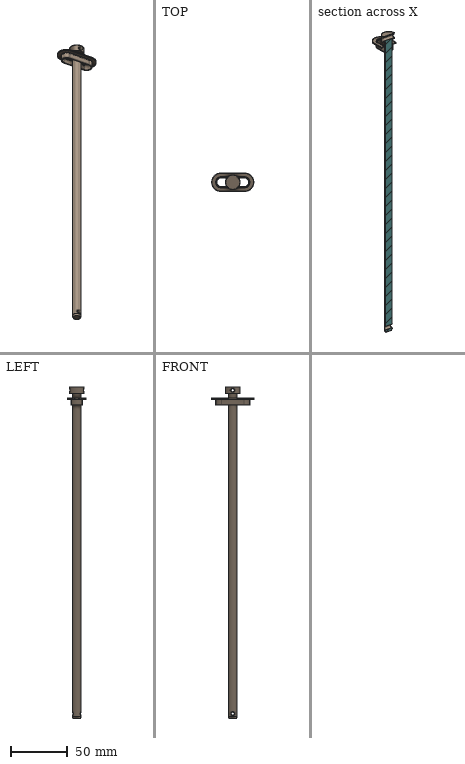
import cadquery as cq

pin_length = 291.0
pin_diameter = 8.0
head_diameter = 12.8
head_height = 5.8
tip_chamfer_height = 1.7
tip_chamfer_width = 1.0

cross_hole_diameter = 3.0
head_hole_z = pin_length - head_height / 2
tip_hole_z = 4.5
cross_hole_rounding = 0.5

flange_length = 37.0
flange_width = 16.0
flange_thickness = 1.0
flange_top_z = 281.0
grommet_height = 6.0
sleeve_length = 30.0
sleeve_width = 10.0
slot_width = pin_diameter
sleeve_wall = (sleeve_width - slot_width) / 2
slot_length = sleeve_length - 2 * sleeve_wall
slot_edge_chamfer = 1.0
sleeve_rounding = 0.45


def add_cross_hole(body, z, outer_diameter):
    """Drill across a round body along Y at height z and round both rims."""
    hole = (
        cq.Workplane("XZ")
        .center(0, z)
        .circle(cross_hole_diameter / 2)
        .extrude(outer_diameter, both=True)
    )
    body = body.cut(hole)
    reach = cross_hole_diameter / 4
    for side in (-1, 1):
        rim = cq.selectors.BoxSelector(
            (-reach, side * outer_diameter / 4, z - reach),
            (reach, side * outer_diameter, z + reach),
        )
        body = body.edges(rim).fillet(cross_hole_rounding)
    return body


def make_pin():
    """Long headed pin with a chamfered tip and two cross holes."""
    pin = cq.Workplane("XY").circle(pin_diameter / 2).extrude(pin_length)
    pin = pin.faces("<Z").chamfer(tip_chamfer_height, tip_chamfer_width)
    head = (
        cq.Workplane("XY", origin=(0, 0, pin_length - head_height))
        .circle(head_diameter / 2)
        .extrude(head_height)
    )
    pin = pin.union(head)
    pin = add_cross_hole(pin, head_hole_z, head_diameter)
    return add_cross_hole(pin, tip_hole_z, pin_diameter)


def slot_prism(length, width, height):
    """Round-ended block hanging down from the top of the flange."""
    return (
        cq.Workplane("XY", origin=(0, 0, flange_top_z))
        .slot2D(length, width)
        .extrude(-height)
    )


def make_grommet():
    """Flanged sleeve with a slot whose upper edge is chamfered and whose lower rim is rounded."""
    flange = slot_prism(flange_length, flange_width, flange_thickness)
    sleeve = slot_prism(sleeve_length, sleeve_width, grommet_height)
    sleeve = sleeve.faces("<Z").edges().fillet(sleeve_rounding)
    opening = slot_prism(slot_length, slot_width, grommet_height)
    edge_cutter = (
        cq.Workplane("XY", origin=(0, 0, flange_top_z))
        .slot2D(slot_length + 2 * slot_edge_chamfer, slot_width + 2 * slot_edge_chamfer)
        .extrude(-slot_edge_chamfer, taper=45)
    )
    return flange.union(sleeve).cut(opening).cut(edge_cutter)


pin = make_pin()
grommet = make_grommet()
result = cq.Compound.makeCompound([pin.val(), grommet.val()])